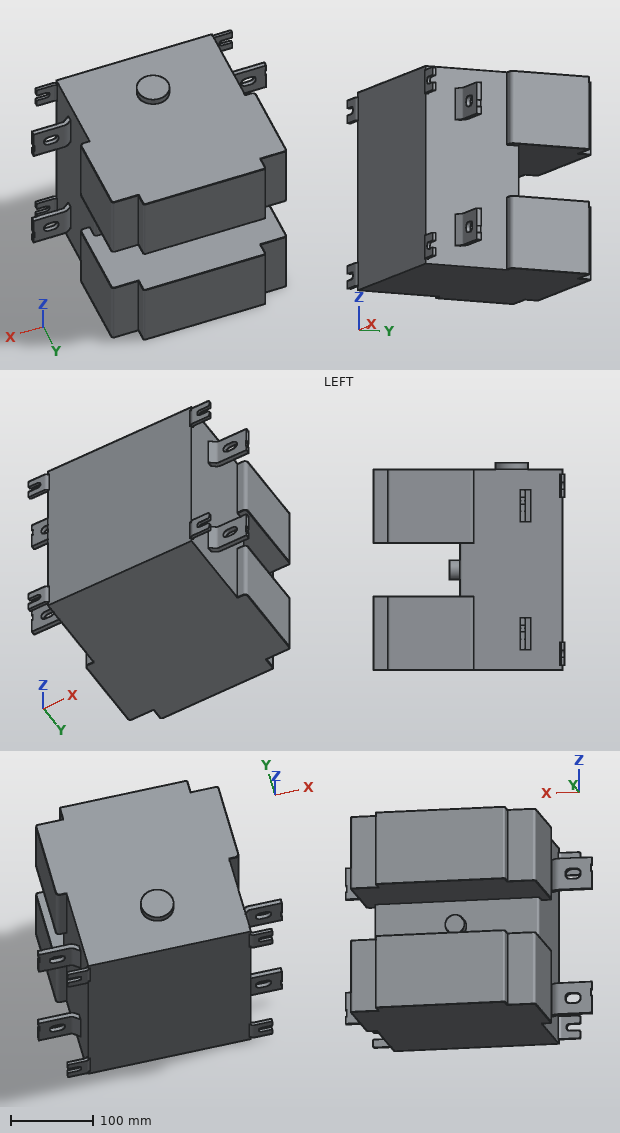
import cadquery as cq
import math

body_width = 204.5
body_height = 244.8
block_height = 90.2
block_width = 230.0
block_front_y = 108.2
shoulder_y = 213.5
back_width = 160.8
back_y = 230.8
recess_y = 125.3
front_corner_radius = 4.5
shoulder_corner_radius = 3.5
back_corner_radius = 2.5
recess_corner_radius = 3.0
rim_chamfer = 0.5

top_button_diameter = 40.0
top_button_height = 8.3
top_button_y = 62.0
recess_button_diameter = 23.8
recess_button_height = 12.8

tab_tip_x = 152.8
tab_height = 38.8
tab_bottom_z = 25.0
tab_thickness = 5.8
tab_back_y = 51.7
tab_bend_x = 112.8
tab_bend_radius = 4.5
tab_bend_angle = math.radians(37)
tab_slot_length = 19.3
tab_slot_width = 12.8
tab_slot_x = 129.5
notch_depth = 1.2
notch_height = 8.3
notch_top_offset = 9.0

foot_tip_x = 128.7
foot_height = 28.5
foot_bottom_z = 5.8
foot_thickness = 4.0
foot_projection = 2.5
foot_bend_x = 105.8
foot_bend_radius = 2.0
foot_bend_angle = math.radians(32)
foot_slot_width = 8.5
foot_slot_end_x = 111.5
foot_tip_radius = 1.8

embed = 6.0
pick_margin = 0.3


def box_between(x_range, y_range, z_range):
    size = [high - low for low, high in (x_range, y_range, z_range)]
    corner = (x_range[0], y_range[0], z_range[0])
    return cq.Workplane("XY").box(*size, centered=False).translate(corner)


def round_upright_edges(solid, half_width, y, radius):
    """Round the two vertical edges at X = +-half_width on the given Y."""
    for x in (-half_width, half_width):
        near_edge = cq.selectors.BoxSelector(
            (x - pick_margin, y - pick_margin, -pick_margin),
            (x + pick_margin, y + pick_margin, body_height + pick_margin),
        )
        solid = solid.edges("|Z").edges(near_edge).fillet(radius)
    return solid


def make_block():
    """Wide end block with a stepped back; its lower face is on Z = 0."""
    wide = box_between(
        (-block_width / 2, block_width / 2), (block_front_y, shoulder_y), (0, block_height)
    )
    back = box_between(
        (-back_width / 2, back_width / 2), (block_front_y, back_y), (0, block_height)
    )
    block = wide.union(back)
    block = round_upright_edges(block, block_width / 2, block_front_y, front_corner_radius)
    block = round_upright_edges(block, block_width / 2, shoulder_y, shoulder_corner_radius)
    block = round_upright_edges(block, back_width / 2, back_y, back_corner_radius)
    return block.faces("<Z or >Z").chamfer(rim_chamfer)


def make_housing():
    body = box_between((-body_width / 2, body_width / 2), (0, recess_y), (0, body_height))
    body = round_upright_edges(body, body_width / 2, recess_y, recess_corner_radius)
    block = make_block()
    upper_block = block.translate((0, 0, body_height - block_height))
    return body.union(block).union(upper_block)


def make_buttons():
    top = (
        cq.Workplane("XY", origin=(0, top_button_y, body_height - embed))
        .circle(top_button_diameter / 2)
        .extrude(embed + top_button_height)
    )
    recess = (
        cq.Workplane("XZ", origin=(0, recess_y + recess_button_height, body_height / 2))
        .circle(recess_button_diameter / 2)
        .extrude(recess_button_height + embed)
    )
    return top.union(recess)


def bend_point(radius, angle, center):
    """Point on an arc, at the angle turned from the +Y direction towards -X."""
    return (center[0] - radius * math.sin(angle), center[1] + radius * math.cos(angle))


def bent_strip(tip_x, outer_y, thickness, bend_x, inner_radius, angle):
    """Outline of a flat strip that turns towards -Y by the angle before it enters the housing."""
    inner_y = outer_y - thickness
    outer_radius = inner_radius + thickness
    center = (bend_x, outer_y - outer_radius)
    tail_length = (bend_x - body_width / 2 + embed) / math.cos(angle)
    tail = (-tail_length * math.cos(angle), -tail_length * math.sin(angle))
    outer_end = bend_point(outer_radius, angle, center)
    inner_end = bend_point(inner_radius, angle, center)
    return (
        cq.Workplane("XY")
        .moveTo(tip_x, outer_y)
        .lineTo(bend_x, outer_y)
        .threePointArc(bend_point(outer_radius, angle / 2, center), outer_end)
        .line(*tail)
        .lineTo(inner_end[0] + tail[0], inner_end[1] + tail[1])
        .lineTo(*inner_end)
        .threePointArc(bend_point(inner_radius, angle / 2, center), (bend_x, inner_y))
        .lineTo(tip_x, inner_y)
        .close()
    )


def make_tab():
    """Right-hand terminal tab with a fixing slot and a tip notch; its lower edge is on Z = 0."""
    outline = bent_strip(
        tab_tip_x, tab_back_y, tab_thickness, tab_bend_x, tab_bend_radius, tab_bend_angle
    )
    tab = outline.extrude(tab_height)
    slot = (
        cq.Workplane("XZ", origin=(tab_slot_x, tab_back_y, tab_height / 2))
        .slot2D(tab_slot_length, tab_slot_width)
        .extrude(tab_thickness)
    )
    notch_top = tab_height - notch_top_offset
    notch = box_between(
        (tab_tip_x - notch_depth, tab_tip_x),
        (tab_back_y - tab_thickness, tab_back_y),
        (notch_top - notch_height, notch_top),
    )
    return tab.cut(slot).cut(notch)


def make_foot():
    """Right-hand foot with an open-ended slot; its lower edge is on Z = 0."""
    outline = bent_strip(
        foot_tip_x, foot_projection, foot_thickness, foot_bend_x, foot_bend_radius, foot_bend_angle
    )
    foot = outline.extrude(foot_height).mirror("XZ")
    slot_length = 2 * (foot_tip_x - foot_slot_end_x)
    slot = (
        cq.Workplane("XZ", origin=(foot_tip_x, foot_thickness, foot_height / 2))
        .slot2D(slot_length, foot_slot_width)
        .extrude(2 * foot_thickness)
    )
    return foot.cut(slot).edges("|Y and >X").fillet(foot_tip_radius)


def stack_pair(part, height, bottom_z):
    """Two copies of a part, one at bottom_z and one equally far below the top."""
    upper_z = body_height - bottom_z - height
    return part.translate((0, 0, bottom_z)).union(part.translate((0, 0, upper_z)))


right_foot = make_foot()
feet = stack_pair(right_foot.union(right_foot.mirror("YZ")), foot_height, foot_bottom_z)

left_tab = make_tab().mirror("YZ")
right_tab = left_tab.rotate((0, 0, tab_height / 2), (0, 1, tab_height / 2), 180)
tabs = stack_pair(left_tab.union(right_tab), tab_height, tab_bottom_z)

result = make_housing().union(make_buttons()).union(feet).union(tabs)